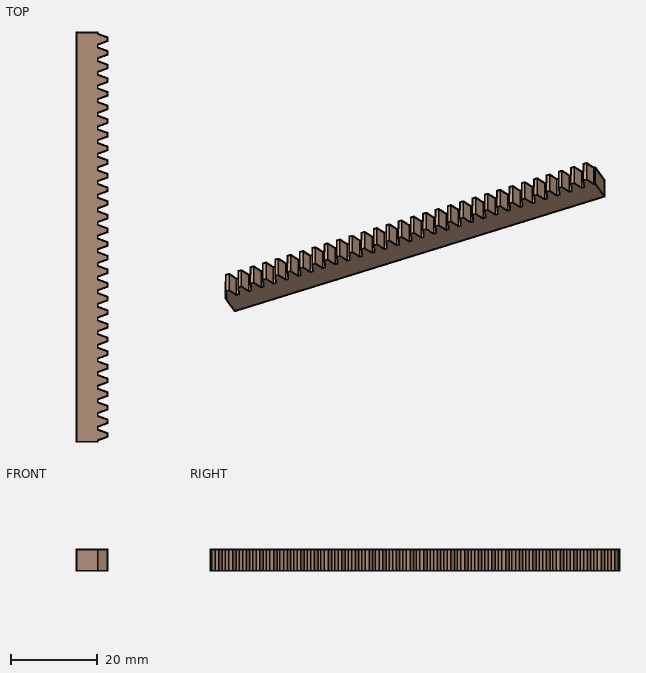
import math

import cadquery as cq

module = 1.0
tooth_count = 30
pressure_angle = math.radians(20)
body_depth = 5.0
face_width = 5.0

pitch = math.pi * module
addendum = module
dedendum = 1.25 * module
rack_length = tooth_count * pitch

root_x = -dedendum
tip_x = addendum
back_x = root_x - body_depth

pitch_half_thickness = pitch / 4
root_half_thickness = pitch_half_thickness + dedendum * math.tan(pressure_angle)
tip_half_thickness = pitch_half_thickness - addendum * math.tan(pressure_angle)


def tooth_points(center_y):
    """Corners of one straight-sided tooth, in order of rising Y."""
    return [
        (root_x, center_y - root_half_thickness),
        (tip_x, center_y - tip_half_thickness),
        (tip_x, center_y + tip_half_thickness),
        (root_x, center_y + root_half_thickness),
    ]


def rack_outline():
    """Closed outline of the rack, with half a tooth gap at each end."""
    points = [(back_x, 0), (root_x, 0)]
    for index in range(tooth_count):
        points += tooth_points((index + 0.5) * pitch)
    points += [(root_x, rack_length), (back_x, rack_length)]
    return points


result = cq.Workplane("XY").polyline(rack_outline()).close().extrude(face_width)